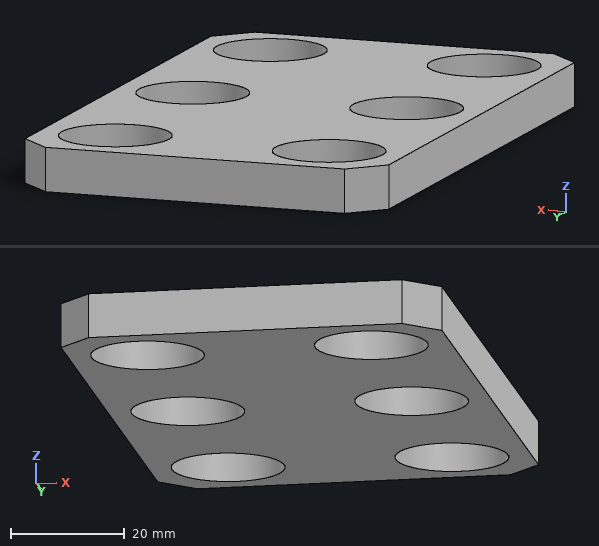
import cadquery as cq

width = 68.0
length = 108.0
thickness = 8.0
corner_chamfer = 6.0

hole_diameter = 20.0
hole_pitch = 2 * hole_diameter
hole_columns = 2
hole_rows = 3

plate = (
    cq.Workplane("XY")
    .box(width, length, thickness)
    .edges("|Z")
    .chamfer(corner_chamfer)
)

result = (
    plate.faces(">Z")
    .workplane()
    .rarray(hole_pitch, hole_pitch, hole_columns, hole_rows)
    .hole(hole_diameter)
)